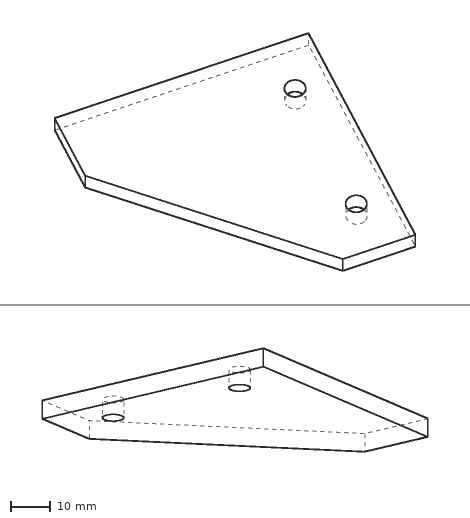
import cadquery as cq

side = 70.0
thickness = 5.0
short_edge = 20.0
hole_diameter = 5.4
hole_side_inset = 15.0
hole_back_inset = 10.0


def corner_plate():
    """Square plate with its front-right corner cut off diagonally."""
    outline = [
        (0, 0),
        (short_edge, 0),
        (side, side - short_edge),
        (side, side),
        (0, side),
    ]
    return cq.Workplane("XY").polyline(outline).close().extrude(thickness)


def mounting_holes():
    """Pair of through-hole cylinders along the back edge."""
    hole_y = side - hole_back_inset
    centres = [(hole_side_inset, hole_y), (side - hole_side_inset, hole_y)]
    return cq.Workplane("XY").pushPoints(centres).circle(hole_diameter / 2).extrude(thickness)


result = corner_plate().cut(mounting_holes())